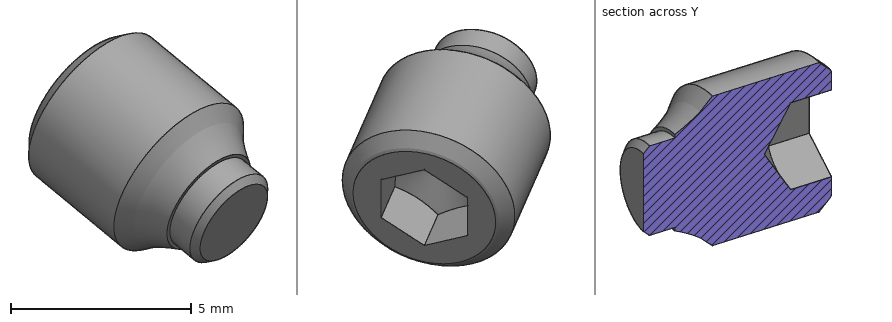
import cadquery as cq
import math

body_diameter = 5.0
body_chamfer = 0.4
rim_bevel_depth = 0.04
rim_bevel_width = 0.075
cylinder_end_x = 3.8

neck_end_x = 5.0
neck_end_radius = 1.61
neck_arc_radius = 5.0

pin_diameter = 3.0
pin_chamfer = 0.2
overall_length = 6.0

hex_across_flats = 2.5
socket_corner_depth = 1.3
hex_half_corner_angle = 30.0
cone_tip_angle = 120.0

body_radius = body_diameter / 2
pin_radius = pin_diameter / 2
chamfer_end_radius = body_radius - body_chamfer
rim_outer_radius = chamfer_end_radius + rim_bevel_depth
neck_start_x = cylinder_end_x + body_chamfer
hex_across_corners = hex_across_flats / math.cos(math.radians(hex_half_corner_angle))
hex_corner_radius = hex_across_corners / 2
cone_depth = hex_corner_radius / math.tan(math.radians(cone_tip_angle / 2))


def make_body():
    """Turned outer shape: bevelled and chamfered cylinder, concave neck and chamfered pin."""
    profile = (
        cq.Workplane("XY")
        .lineTo(0, rim_outer_radius - rim_bevel_width)
        .lineTo(rim_bevel_depth, rim_outer_radius)
        .lineTo(body_chamfer, body_radius)
        .lineTo(cylinder_end_x, body_radius)
        .lineTo(neck_start_x, chamfer_end_radius)
        .radiusArc((neck_end_x, neck_end_radius), -neck_arc_radius)
        .lineTo(neck_end_x, pin_radius)
        .lineTo(overall_length - pin_chamfer, pin_radius)
        .lineTo(overall_length, pin_radius - pin_chamfer)
        .lineTo(overall_length, 0)
        .close()
    )
    return profile.revolve(360, (0, 0, 0), (1, 0, 0))


def make_socket():
    """Hexagonal prism, corners pointing along Z, trimmed by a cone at its bottom."""
    tip_depth = socket_corner_depth + cone_depth
    prism = (
        cq.Workplane("YZ")
        .polygon(6, hex_across_corners)
        .extrude(tip_depth)
        .rotate((0, 0, 0), (1, 0, 0), hex_half_corner_angle)
    )
    drill = (
        cq.Workplane("XY")
        .lineTo(0, hex_corner_radius)
        .lineTo(socket_corner_depth, hex_corner_radius)
        .lineTo(tip_depth, 0)
        .close()
        .revolve(360, (0, 0, 0), (1, 0, 0))
    )
    return prism.intersect(drill)


result = make_body().cut(make_socket())